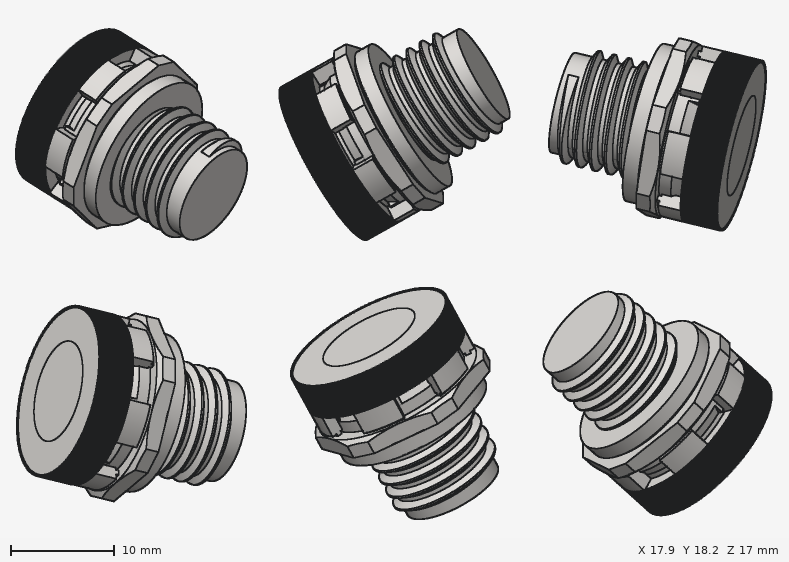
import cadquery as cq
import math


rim_end = 3.67
hub_step = 4.0
ramp_end = 5.0
tab_end = 5.94
lip_end = 6.21
nut_end = 7.94
washer_end = 8.18
flange_end = 9.69
barrel_end = 17.94

cap_plate = 2.0
tooth_count = 360
tooth_tip_radius = 8.47
tooth_depth = 0.2
collar_start = 0.1
collar_end = 0.17
cap_bore_radius = 13.94 / 2
tab_radius = tooth_tip_radius
tab_count = 6
tab_span = 30.0
tab_first_start = 24.5
lip_outer_radius = 7.95
lip_inner_radius = 7.42
plug_radius = 9.94 / 2

hub_radius = 14.4 / 2
hub_front_radius = 6.63
rib_span = 3.0
flange_radius = 15.68 / 2
barrel_radius = 9.94 / 2

thread_pitch = 1.5
thread_turns = 5.25
thread_crest_radius = 5.7
thread_root_width = 1.04
thread_crest_width = 0.2
thread_embed = 0.15
thread_end_x = 16.9
runout_middle_radius = 5.47
runout_clearance = 0.01
runout_overlap = 0.3

nut_across_flats = 17.0
nut_across_corners = 18.15
nut_face_radius = 8.5
nut_chamfer_angle = 30.0
washer_radius = 7.5

tab_pitch = 360.0 / tab_count
ramp_slope = (hub_radius - hub_front_radius) / (ramp_end - hub_step)
bore_meets_ramp = hub_step + (cap_bore_radius - hub_front_radius) / ramp_slope


def revolved(profile, start=0.0, span=360.0):
    """Turn a closed (x, radius) profile about X through span, beginning at angle start."""
    turned = cq.Workplane("XY").polyline(profile).close().revolve(span, (0, 0, 0), (1, 0, 0))
    return turned.rotate((0, 0, 0), (1, 0, 0), start)


def cylinder(x_start, x_end, radius):
    return cq.Workplane("YZ", origin=(x_start, 0, 0)).circle(radius).extrude(x_end - x_start)


def knurled_rim():
    """Straight-knurled rim with V teeth and a thin smooth collar near the front."""
    points = []
    for i in range(2 * tooth_count):
        radius = tooth_tip_radius - tooth_depth * (i % 2)
        angle = math.pi * i / tooth_count
        points.append((radius * math.cos(angle), radius * math.sin(angle)))
    rim = cq.Workplane("YZ").polyline(points).close().extrude(rim_end)
    return rim.union(cylinder(collar_start, collar_end, tooth_tip_radius))


def make_cap():
    """Cup with a round plug hole in front and a ring of lipped tabs behind."""
    cap = knurled_rim()
    cap = cap.cut(cylinder(0, cap_plate, plug_radius))
    cap = cap.cut(cylinder(cap_plate, rim_end, cap_bore_radius))
    tab_profile = [
        (rim_end, cap_bore_radius),
        (rim_end, tab_radius),
        (tab_end, tab_radius),
        (tab_end, lip_outer_radius),
        (lip_end, lip_outer_radius),
        (lip_end, lip_inner_radius),
        (tab_end, lip_inner_radius),
        (tab_end, hub_radius),
        (ramp_end, hub_radius),
        (bore_meets_ramp, cap_bore_radius),
    ]
    for i in range(tab_count):
        cap = cap.union(revolved(tab_profile, tab_first_start + i * tab_pitch, tab_span))
    return cap


def make_plug():
    """Round plug flush with the front of the cap."""
    return cylinder(0, cap_plate, plug_radius)


def make_thread():
    """Helical ridge on the barrel that runs out to nothing on its +Z side."""
    height = thread_pitch * thread_turns
    root_radius = barrel_radius - thread_embed
    helix = cq.Wire.makeHelix(thread_pitch, height, barrel_radius)
    ridge = (
        cq.Workplane("XZ")
        .moveTo(root_radius, -thread_root_width / 2)
        .lineTo(barrel_radius, -thread_root_width / 2)
        .lineTo(thread_crest_radius, -thread_crest_width / 2)
        .lineTo(thread_crest_radius, thread_crest_width / 2)
        .lineTo(barrel_radius, thread_root_width / 2)
        .lineTo(root_radius, thread_root_width / 2)
        .close()
        .sweep(cq.Workplane(helix), isFrenet=True)
    )
    ridge = ridge.rotate((0, 0, 0), (1, 1, 1), 120)
    ridge = ridge.translate((thread_end_x - height, 0, 0))

    middle = runout_middle_radius * math.sqrt(0.5)
    runout_end_z = barrel_radius + runout_clearance
    outside = thread_crest_radius + runout_overlap
    runout_start_x = thread_end_x - thread_pitch / 8 - thread_pitch / 2
    runout = (
        cq.Workplane("YZ", origin=(runout_start_x, 0, 0))
        .moveTo(thread_crest_radius, 0)
        .threePointArc((middle, middle), (0, runout_end_z))
        .lineTo(-runout_overlap, runout_end_z)
        .lineTo(-runout_overlap, outside)
        .lineTo(outside, outside)
        .lineTo(outside, 0)
        .close()
        .extrude(thread_pitch)
    )
    return ridge.cut(runout)


def make_threaded_body():
    """Hub with ramp and stop ribs, flange, and threaded barrel, in one piece."""
    body = revolved([
        (cap_plate, 0),
        (cap_plate, hub_front_radius),
        (hub_step, hub_front_radius),
        (ramp_end, hub_radius),
        (washer_end, hub_radius),
        (washer_end, flange_radius),
        (flange_end, flange_radius),
        (flange_end, barrel_radius),
        (barrel_end, barrel_radius),
        (barrel_end, 0),
    ])
    rib_profile = [(hub_step, hub_front_radius), (hub_step, hub_radius), (ramp_end, hub_radius)]
    for i in range(tab_count):
        rib_start = tab_first_start - rib_span + i * tab_pitch
        body = body.union(revolved(rib_profile, rib_start, rib_span))
    return body.union(make_thread())


def make_nut():
    """Hexagon nut with flats on top and bottom, cut-off corners and a chamfered front."""
    length = nut_end - lip_end
    across_sharp_corners = nut_across_flats / math.cos(math.pi / 6)
    blank = cq.Workplane("YZ", origin=(lip_end, 0, 0))
    nut = blank.polygon(6, across_sharp_corners).extrude(length)
    corner_hexagon = blank.polygon(6, nut_across_corners / math.cos(math.pi / 6)).extrude(length)
    nut = nut.intersect(corner_hexagon.rotate((0, 0, 0), (1, 0, 0), 30))

    outer_radius = across_sharp_corners / 2
    chamfer_depth = (outer_radius - nut_face_radius) * math.tan(math.radians(nut_chamfer_angle))
    envelope = revolved([
        (lip_end, 0),
        (lip_end, nut_face_radius),
        (lip_end + chamfer_depth, outer_radius),
        (nut_end, outer_radius),
        (nut_end, 0),
    ])
    return nut.intersect(envelope).cut(cylinder(lip_end, nut_end, hub_radius))


def make_washer():
    """Thin ring between nut and flange."""
    return cylinder(nut_end, washer_end, washer_radius).cut(cylinder(nut_end, washer_end, hub_radius))


cap = make_cap()
plug = make_plug()
threaded_body = make_threaded_body()
nut = make_nut()
washer = make_washer()

result = cq.Compound.makeCompound([
    cap.solids().val(),
    plug.solids().val(),
    threaded_body.solids().val(),
    nut.solids().val(),
    washer.solids().val(),
])